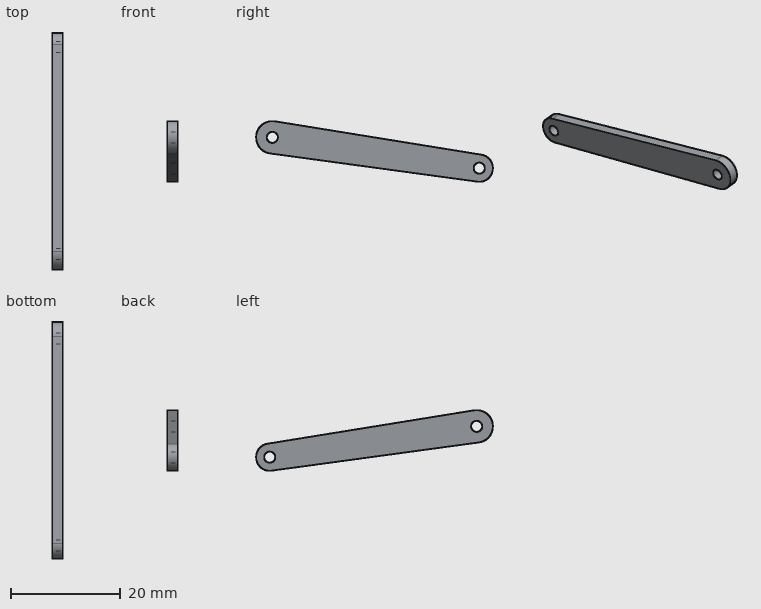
import cadquery as cq
import math

thickness = 2.0
length = 43.25
height = 11.1

large_radius = 3.0
small_radius = 2.5
hole_diameter = 2.0

small_y = length - large_radius - small_radius
small_z = -(height - large_radius - small_radius)

axis_angle = math.atan2(small_z, small_y)
tangent_offset = math.acos((large_radius - small_radius) / math.hypot(small_y, small_z))
upper_angle = axis_angle + tangent_offset
lower_angle = axis_angle - tangent_offset


def large_end_point(angle):
    return (large_radius * math.cos(angle), large_radius * math.sin(angle))


def small_end_point(angle):
    return (small_y + small_radius * math.cos(angle), small_z + small_radius * math.sin(angle))


link = (
    cq.Workplane("YZ")
    .moveTo(*large_end_point(upper_angle))
    .lineTo(*small_end_point(upper_angle))
    .threePointArc(small_end_point(axis_angle), small_end_point(lower_angle))
    .lineTo(*large_end_point(lower_angle))
    .threePointArc(large_end_point(axis_angle + math.pi), large_end_point(upper_angle))
    .close()
    .extrude(thickness)
)

pin_holes = (
    cq.Workplane("YZ")
    .pushPoints([(0, 0), (small_y, small_z)])
    .circle(hole_diameter / 2)
    .extrude(thickness)
)

result = link.cut(pin_holes)